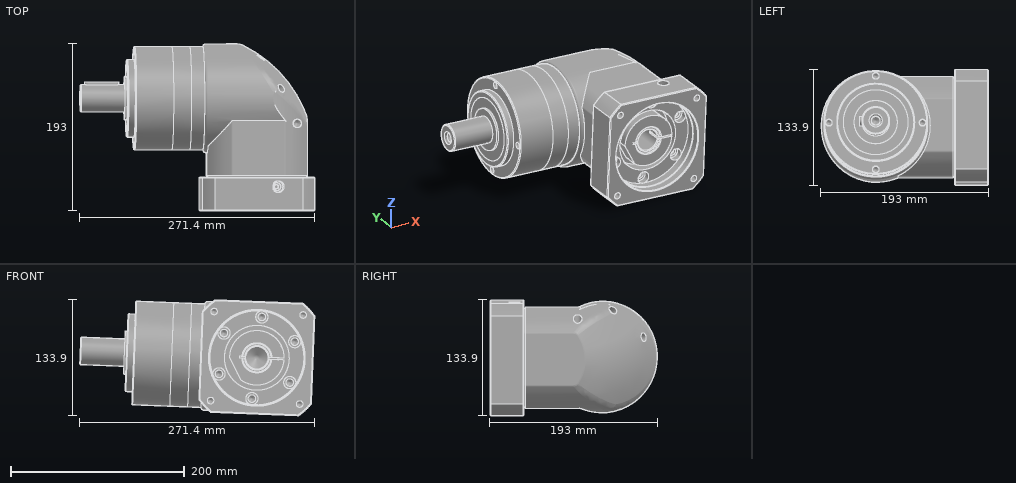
import cadquery as cq
import math

TILT = 2.25
DRILL_POINT = 118.0
EDGE_BREAK = 1.0

SHAFT_R = 16.0
SHAFT_END_X = -204.0
SHOULDER_R = 25.0
SHOULDER_X = -153.0
SHAFT_SEAT_X = -122.0
CENTRE_HOLE_R = 5.2
CENTRE_HOLE_MOUTH_R = 7.5
CENTRE_HOLE_DEPTH = 19.0
KEY_LENGTH = 40.0
KEY_WIDTH = 10.0
KEY_HEIGHT = 8.1
KEY_TOP = 19.0
KEY_START_X = -199.1

REGISTER_R = 45.0
REGISTER_X = -150.5
SEAL_R = 37.5
SEAL_DEPTH = 10.0
BARREL_R = 60.0
BARREL_X = -142.2
RING_GEAR_X = -98.2
ELBOW_X = -77.5
OUTPUT_BOLT_CIRCLE_R = 54.0
OUTPUT_BOLT_R = 3.8
OUTPUT_BOLT_DEPTH = 13.5

COLLAR_X = -62.5
COLLAR_ROUND = 3.5
OUTPUT_TUBE_R = 63.0
MOTOR_TUBE_R = 65.0
FLAT_DISTANCE = 57.5
DOME_R = 146.5
DOME_X = -80.0
DOME_Y = -70.5
DOME_ROUND = 15.0
FLAT_EDGE_ROUND = 4.0
ELBOW_END_CHAMFER = 2.0
ELBOW_HOLE_R = 5.0
ELBOW_HOLE_DEPTH = 10.9
DOME_HOLES = ((26.9, 12.2), (3.8, 47.2))
SIDE_HOLE_X = 45.0
SIDE_HOLE_Y = -29.0

FLANGE_BACK_Y = -91.0
FLANGE_FRONT_Y = -130.0
FLANGE_SIDE = 130.0
FLANGE_CORNER_R = 82.5
MOTOR_BOLT_SPACING = 102.8
MOTOR_BOLT_R = 3.8
MOTOR_BOLT_DEPTH = 21.7
POCKET_RIM_R = 56.0
POCKET_MOUTH_R = 55.0
POCKET_MOUTH_DEPTH = 10.9
POCKET_R = 54.3
POCKET_DEPTH = 21.2
HUB_CLEARANCE_R = 37.5
SCREW_COUNT = 6
SCREW_CIRCLE_R = 47.5
SCREW_START_ANGLE = 25.3
SCREW_R = 4.3
SCREW_HEAD_R = 7.0
SCREW_HEAD_DEPTH = 8.1
SCREW_DEPTH = 12.2
ACCESS_X = 22.5
ACCESS_Y = -102.0
ACCESS_R = 6.5

HUB_R = 31.5
HUB_FACE_Y = -110.5
HUB_STEM_R = 24.5
HUB_STEM_Y = -51.5
HUB_BORE_R = 13.0
HUB_BORE_BEVEL = 1.0
HUB_RING_R = 16.3
HUB_RING_DEPTH = 1.0
HUB_BORE_DEPTH = 40.7
HUB_FLAT_DISTANCE = 28.0
HUB_FLAT_ANGLE = 208.7
HUB_SLIT = 2.2
HUB_NOTCH_X = -20.0
CLAMP_HEAD_R = 4.5
CLAMP_SEAT_Z = 5.5
CLAMP_THREAD_R = 2.5
CLAMP_THREAD_DEPTH = 16.3


def x_cylinder(radius, start, end):
    plane = cq.Plane(origin=(start, 0, 0), xDir=(0, -1, 0), normal=(1, 0, 0))
    return cq.Workplane(plane).circle(radius).extrude(end - start)


def y_cylinder(radius, start, end):
    return cq.Workplane("XZ", origin=(0, start, 0)).circle(radius).extrude(start - end)


def drilled_hole(point, direction, radius, depth):
    """A blind hole with a drill point, going from the point in the direction."""
    start = cq.Vector(*point)
    axis = cq.Vector(*direction)
    tip = radius / math.tan(math.radians(DRILL_POINT / 2))
    bore = cq.Solid.makeCylinder(radius, depth, start, axis)
    cone = cq.Solid.makeCone(radius, 0, tip, start + axis * depth, axis)
    return cq.Workplane(bore.fuse(cone))


def countersink(point, direction, mouth_radius, hole_radius):
    """A 45-degree cone that widens the mouth of a hole."""
    depth = mouth_radius - hole_radius
    cone = cq.Solid.makeCone(mouth_radius, hole_radius, depth, cq.Vector(*point), cq.Vector(*direction))
    return cq.Workplane(cone)


def polar(radius, angle):
    turn = math.radians(angle)
    return radius * math.cos(turn), radius * math.sin(turn)


def key_shape():
    centre_x = KEY_START_X + KEY_LENGTH / 2
    return (
        cq.Workplane("XZ", origin=(centre_x, KEY_TOP, 0))
        .slot2D(KEY_LENGTH, KEY_WIDTH)
        .extrude(KEY_HEIGHT)
    )


def output_shaft():
    journal = x_cylinder(SHAFT_R, SHAFT_END_X, SHOULDER_X).faces("<X").chamfer(EDGE_BREAK)
    shaft = journal.union(x_cylinder(SHOULDER_R, SHOULDER_X, SHAFT_SEAT_X))
    end = (SHAFT_END_X, 0, 0)
    inward = (1, 0, 0)
    shaft = shaft.cut(countersink(end, inward, CENTRE_HOLE_MOUTH_R, CENTRE_HOLE_R))
    shaft = shaft.cut(drilled_hole(end, inward, CENTRE_HOLE_R, CENTRE_HOLE_DEPTH))
    return shaft.cut(key_shape())


def shaft_seal():
    ring = x_cylinder(SEAL_R, REGISTER_X, REGISTER_X + SEAL_DEPTH)
    return ring.cut(x_cylinder(SHOULDER_R, REGISTER_X, REGISTER_X + SEAL_DEPTH))


def front_housing():
    barrel = x_cylinder(BARREL_R, BARREL_X, RING_GEAR_X).faces("<X").chamfer(EDGE_BREAK)
    register = x_cylinder(REGISTER_R, REGISTER_X, BARREL_X).faces("<X").chamfer(EDGE_BREAK)
    body = barrel.union(register)
    body = body.cut(x_cylinder(SEAL_R, REGISTER_X, REGISTER_X + SEAL_DEPTH))
    body = body.cut(x_cylinder(SHOULDER_R, REGISTER_X, SHAFT_SEAT_X))
    for angle in range(0, 360, 90):
        y, z = polar(OUTPUT_BOLT_CIRCLE_R, angle)
        body = body.cut(drilled_hole((BARREL_X, y, z), (1, 0, 0), OUTPUT_BOLT_R, OUTPUT_BOLT_DEPTH))
    return body


def ring_gear():
    return x_cylinder(BARREL_R, RING_GEAR_X, ELBOW_X)


def dome_holes():
    """Holes square to the dome, given by where their mouths lie in X and Y on its upper half."""
    centre = cq.Vector(DOME_X, DOME_Y, 0)
    holes = []
    for x, y in DOME_HOLES:
        z = math.sqrt(DOME_R**2 - (x - DOME_X) ** 2 - (y - DOME_Y) ** 2)
        mouth = cq.Vector(x, y, z)
        inward = (centre - mouth).normalized()
        holes.append(drilled_hole(mouth.toTuple(), inward.toTuple(), ELBOW_HOLE_R, ELBOW_HOLE_DEPTH))
    return holes


def side_hole():
    """An upright hole in the curved top of the motor tube, its depth counted where the axis enters."""
    surface_z = math.sqrt(MOTOR_TUBE_R**2 - SIDE_HOLE_X**2)
    top_z = MOTOR_TUBE_R
    depth = top_z - surface_z + ELBOW_HOLE_DEPTH
    return drilled_hole((SIDE_HOLE_X, SIDE_HOLE_Y, top_z), (0, 0, -1), ELBOW_HOLE_R, depth)


def elbow_housing():
    output_tube = x_cylinder(OUTPUT_TUBE_R, COLLAR_X, 0).faces("<X").edges().fillet(COLLAR_ROUND)

    wide = 4 * MOTOR_TUBE_R
    flat_end_y = -math.sqrt(OUTPUT_TUBE_R**2 - FLAT_DISTANCE**2)
    flat_zone = (
        cq.Workplane("XZ", origin=(0, flat_end_y, 0)).rect(wide, 2 * FLAT_DISTANCE).extrude(wide)
    )
    limits = x_cylinder(OUTPUT_TUBE_R, -wide, wide).union(flat_zone)
    side_flats = cq.Workplane().box(2 * FLAT_DISTANCE, wide, wide)
    motor_tube = y_cylinder(MOTOR_TUBE_R, MOTOR_TUBE_R, FLANGE_BACK_Y)
    motor_tube = motor_tube.intersect(side_flats).intersect(limits)
    elbow = output_tube.union(motor_tube)

    dome = cq.Workplane().sphere(DOME_R).translate((DOME_X, DOME_Y, 0))
    elbow = elbow.intersect(dome).clean()
    rim = elbow.faces("%SPHERE").edges("%BSPLINE")
    elbow = rim.fillet(DOME_ROUND)
    elbow = elbow.edges("|Y").fillet(FLAT_EDGE_ROUND)
    elbow = elbow.faces("<Y").chamfer(ELBOW_END_CHAMFER)
    for hole in dome_holes() + [side_hole()]:
        elbow = elbow.cut(hole)
    elbow = elbow.union(x_cylinder(BARREL_R, ELBOW_X, COLLAR_X))
    return elbow.cut(y_cylinder(HUB_STEM_R, HUB_STEM_Y, FLANGE_BACK_Y))


def motor_flange():
    thickness = FLANGE_BACK_Y - FLANGE_FRONT_Y
    plate = (
        cq.Workplane("XZ", origin=(0, FLANGE_BACK_Y, 0))
        .rect(FLANGE_SIDE, FLANGE_SIDE)
        .extrude(thickness)
        .intersect(y_cylinder(FLANGE_CORNER_R, FLANGE_BACK_Y, FLANGE_FRONT_Y))
        .faces("<Y or >Y")
        .chamfer(EDGE_BREAK)
    )
    floor_y = FLANGE_FRONT_Y + POCKET_DEPTH
    plate = plate.cut(y_cylinder(POCKET_MOUTH_R, FLANGE_FRONT_Y + POCKET_MOUTH_DEPTH, FLANGE_FRONT_Y))
    plate = plate.cut(y_cylinder(POCKET_R, floor_y, FLANGE_FRONT_Y))
    plate = plate.cut(y_cylinder(HUB_CLEARANCE_R, FLANGE_BACK_Y, FLANGE_FRONT_Y))
    inward = (0, 1, 0)
    plate = plate.cut(countersink((0, FLANGE_FRONT_Y, 0), inward, POCKET_RIM_R, POCKET_MOUTH_R))
    half = MOTOR_BOLT_SPACING / 2
    for x in (-half, half):
        for z in (-half, half):
            plate = plate.cut(
                drilled_hole((x, FLANGE_FRONT_Y, z), inward, MOTOR_BOLT_R, MOTOR_BOLT_DEPTH)
            )
    for i in range(SCREW_COUNT):
        x, z = polar(SCREW_CIRCLE_R, SCREW_START_ANGLE + i * 360 / SCREW_COUNT)
        head = y_cylinder(SCREW_HEAD_R, floor_y + SCREW_HEAD_DEPTH, floor_y).translate((x, 0, z))
        plate = plate.cut(head)
        plate = plate.cut(drilled_hole((x, floor_y, z), inward, SCREW_R, SCREW_DEPTH))
    access = cq.Workplane("XY", origin=(ACCESS_X, ACCESS_Y, 0)).circle(ACCESS_R).extrude(FLANGE_SIDE)
    return plate.cut(access)


def clamping_hub():
    hub = y_cylinder(HUB_R, FLANGE_BACK_Y, HUB_FACE_Y)
    flat_cut = (
        cq.Workplane()
        .box(HUB_R, -HUB_FACE_Y, 2 * HUB_R)
        .translate((HUB_FLAT_DISTANCE + HUB_R / 2, HUB_FACE_Y, 0))
        .rotate((0, 0, 0), (0, 1, 0), -HUB_FLAT_ANGLE)
    )
    hub = hub.cut(flat_cut)
    length = FLANGE_BACK_Y - HUB_FACE_Y
    slit_length = HUB_R - HUB_NOTCH_X
    slit = (
        cq.Workplane()
        .box(slit_length, length, HUB_SLIT)
        .translate((HUB_NOTCH_X + slit_length / 2, HUB_FACE_Y + length / 2, 0))
    )
    hub = hub.cut(slit)
    hub = hub.union(y_cylinder(HUB_STEM_R, HUB_STEM_Y, FLANGE_BACK_Y))

    inward = (0, 1, 0)
    ring_y = HUB_FACE_Y + HUB_RING_DEPTH
    hub = hub.cut(countersink((0, HUB_FACE_Y, 0), inward, HUB_RING_R + HUB_RING_DEPTH, HUB_RING_R))
    hub = hub.cut(countersink((0, ring_y, 0), inward, HUB_BORE_R + HUB_BORE_BEVEL, HUB_BORE_R))
    hub = hub.cut(drilled_hole((0, HUB_FACE_Y, 0), inward, HUB_BORE_R, HUB_BORE_DEPTH))

    screw_seat = (ACCESS_X, ACCESS_Y, CLAMP_SEAT_Z)
    screw_head = cq.Workplane("XY", origin=screw_seat).circle(CLAMP_HEAD_R).extrude(HUB_R)
    screw_thread = cq.Workplane("XY", origin=screw_seat).circle(CLAMP_THREAD_R).extrude(-CLAMP_THREAD_DEPTH)
    return hub.cut(screw_head).cut(screw_thread)


def tilted(body):
    return body.rotate((0, 0, 0), (0, 1, 0), TILT).val()


shaft = output_shaft()
key = key_shape()
seal = shaft_seal()
front = front_housing()
gear = ring_gear()
elbow = elbow_housing()
flange = motor_flange()
hub = clamping_hub()

bodies = [shaft, key, seal, front, gear, elbow, flange, hub]
result = cq.Compound.makeCompound([tilted(body) for body in bodies])